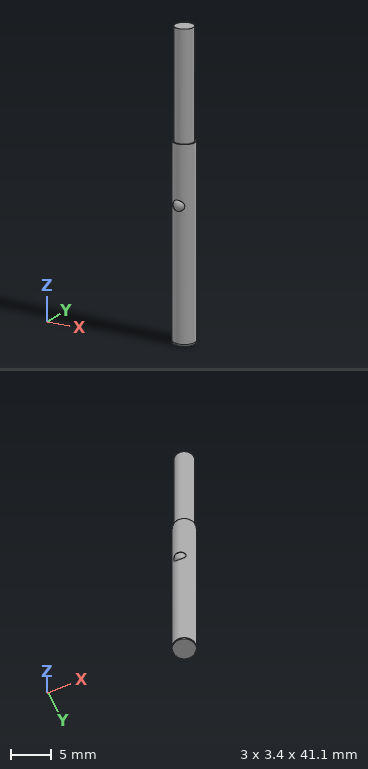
import cadquery as cq

total_length = 41.15
sleeve_top = 26.2
sleeve_diameter = 3.0
rod_diameter = 2.6
bottom_z = -total_length / 2

button_diameter = 1.7
button_reach = 0.4
button_height = 18.2
button_center_y = -(sleeve_diameter / 2 + button_reach - button_diameter / 2)

head_thickness = 0.25


def make_rod():
    """Rod with a thin head at its lower end."""
    head = (
        cq.Workplane("XY", origin=(0, 0, bottom_z))
        .circle(sleeve_diameter / 2)
        .extrude(head_thickness)
    )
    shank = (
        cq.Workplane("XY", origin=(0, 0, bottom_z))
        .circle(rod_diameter / 2)
        .extrude(total_length)
    )
    return head.union(shank)


def make_sleeve(rod):
    """Sleeve that rests on the rod head, with a domed button and a bore that fits the rod."""
    barrel = (
        cq.Workplane("XY", origin=(0, 0, bottom_z + head_thickness))
        .circle(sleeve_diameter / 2)
        .extrude(sleeve_top - head_thickness)
    )
    button = cq.Workplane(
        "XY", origin=(0, button_center_y, bottom_z + button_height)
    ).sphere(button_diameter / 2)
    return barrel.union(button).cut(rod)


rod = make_rod()
sleeve = make_sleeve(rod)
result = cq.Compound.makeCompound([rod.val(), sleeve.val()])